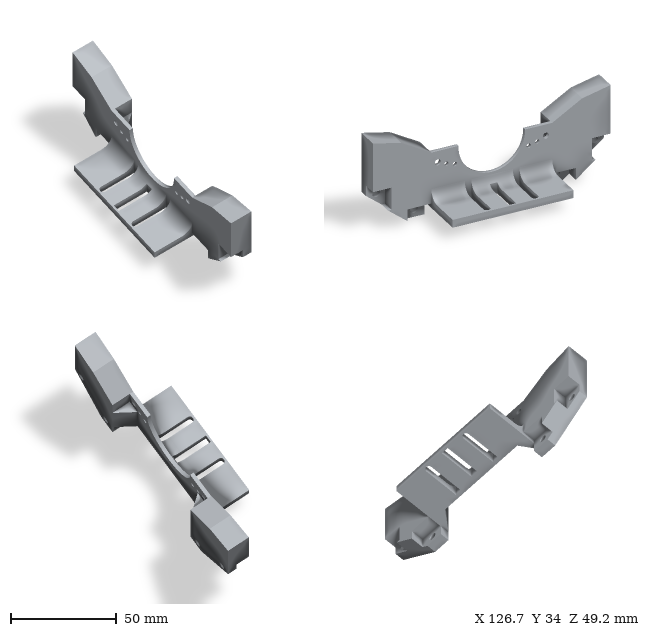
import cadquery as cq
import math


half_width = 126.72 / 2
total_height = 49.23
wing_thickness = 12.0
web_thickness = 2.0
web_half_width = 32.2
web_top = 36.6

kink_x = 48.2
upper_slope_angle = 30.0
kink_z = web_top + (kink_x - web_half_width) * math.tan(math.radians(upper_slope_angle))
outer_side_bottom = 17.5
foot_outer_x = 41.4

cutout_radius = 17.75
cutout_bottom = 18.2

shelf_length = 22.0
shelf_top = 10.9
shelf_thickness = 4.2
shelf_bottom = shelf_top - shelf_thickness
shelf_fillet = 6.0

slot_row_shift = 0.15
slot_end_margin = 1.0
side_slot_spacing = 12.8
side_slot_width = 3.5
middle_slot_width = 4.0
middle_slot_setback = 1.6

pad_thickness = 5.0
recess_depth = wing_thickness - pad_thickness
upper_recess_width = 10.0
upper_recess_bottom = 11.0
upper_recess_height = 12.0
lower_recess_width = 12.6
lower_recess_top = 9.1
pad_hole_diameter = 4.0
pad_hole_places = [(58.1, 17.8), (38.0, 4.2)]

web_holes = [(28.8, 30.5, 3.2), (24.2, 28.5, 2.3), (19.7, 27.3, 2.3)]

left_gusset_width = 8.2
right_gusset_width = 6.4
gusset_top = 26.0


def block(x_min, x_max, y_min, y_max, z_min, z_max):
    """Axis-aligned box given by its limits."""
    size = (x_max - x_min, y_max - y_min, z_max - z_min)
    return cq.Workplane("XY").box(*size, centered=False).translate((x_min, y_min, z_min))


def rod(x, z, diameter):
    """Cylinder along Y that reaches through the full wing thickness."""
    return (
        cq.Workplane("XZ")
        .center(x, z)
        .circle(diameter / 2)
        .extrude(-wing_thickness)
    )


def make_side(gusset_width):
    """Right-hand side of the bracket: a wing and its gusset."""
    return make_wing().union(make_gusset(gusset_width))


def make_wing():
    """Right-hand wing with its two recessed mounting pads."""
    wing = (
        cq.Workplane("XZ")
        .moveTo(web_half_width, 0)
        .lineTo(foot_outer_x, 0)
        .lineTo(half_width, outer_side_bottom)
        .lineTo(half_width, total_height)
        .lineTo(kink_x, kink_z)
        .lineTo(web_half_width, web_top)
        .close()
        .extrude(-wing_thickness)
    )
    upper_recess = block(
        half_width - upper_recess_width, half_width,
        0, recess_depth,
        upper_recess_bottom, upper_recess_bottom + upper_recess_height,
    )
    lower_recess = block(
        web_half_width, web_half_width + lower_recess_width,
        0, recess_depth,
        0, lower_recess_top,
    )
    wing = wing.cut(upper_recess).cut(lower_recess)
    for x, z in pad_hole_places:
        wing = wing.cut(rod(x, z, pad_hole_diameter))
    return wing


def make_gusset(gusset_width):
    """Right-hand triangular block between the wing's inner side and the web."""
    return (
        cq.Workplane("XY")
        .workplane(offset=shelf_bottom)
        .moveTo(web_half_width, web_thickness)
        .lineTo(web_half_width - gusset_width, web_thickness)
        .lineTo(web_half_width, wing_thickness)
        .close()
        .extrude(gusset_top - shelf_bottom)
    )


def make_web():
    """Thin plate between the wings, with the round cutout."""
    web = block(-web_half_width, web_half_width, 0, web_thickness, shelf_bottom, web_top)
    return web.cut(rod(0, cutout_bottom + cutout_radius, 2 * cutout_radius))


def make_shelf():
    """Shelf with a concave fillet to the web, cut by three slots."""
    arc_shift = shelf_fillet * (1 - math.sqrt(0.5))
    shelf = (
        cq.Workplane("YZ")
        .workplane(offset=-web_half_width)
        .moveTo(0, shelf_bottom)
        .lineTo(-shelf_length, shelf_bottom)
        .lineTo(-shelf_length, shelf_top)
        .lineTo(-shelf_fillet, shelf_top)
        .threePointArc((-arc_shift, shelf_top + arc_shift), (0, shelf_top + shelf_fillet))
        .close()
        .extrude(2 * web_half_width)
    )
    slot_end_y = slot_end_margin - shelf_length
    slot_top = shelf_top + shelf_fillet
    side_slot_radius = side_slot_width / 2
    side_slot = (
        cq.Workplane("XY")
        .workplane(offset=shelf_bottom)
        .moveTo(-side_slot_radius, 0)
        .lineTo(-side_slot_radius, slot_end_y + side_slot_radius)
        .threePointArc((0, slot_end_y), (side_slot_radius, slot_end_y + side_slot_radius))
        .lineTo(side_slot_radius, 0)
        .close()
        .extrude(slot_top - shelf_bottom)
    )
    middle_slot = block(
        -middle_slot_width / 2, middle_slot_width / 2,
        slot_end_y, -middle_slot_setback,
        shelf_bottom, slot_top,
    )
    shelf = shelf.cut(middle_slot.translate((slot_row_shift, 0, 0)))
    for x_offset in (-side_slot_spacing, side_slot_spacing):
        shelf = shelf.cut(side_slot.translate((slot_row_shift + x_offset, 0, 0)))
    return shelf


right_side = make_side(right_gusset_width)
left_side = make_side(left_gusset_width).mirror("YZ")
result = make_web().union(make_shelf()).union(right_side).union(left_side)
for hole_x, hole_z, hole_diameter in web_holes:
    for side in (-1, 1):
        result = result.cut(rod(side * hole_x, hole_z, hole_diameter))